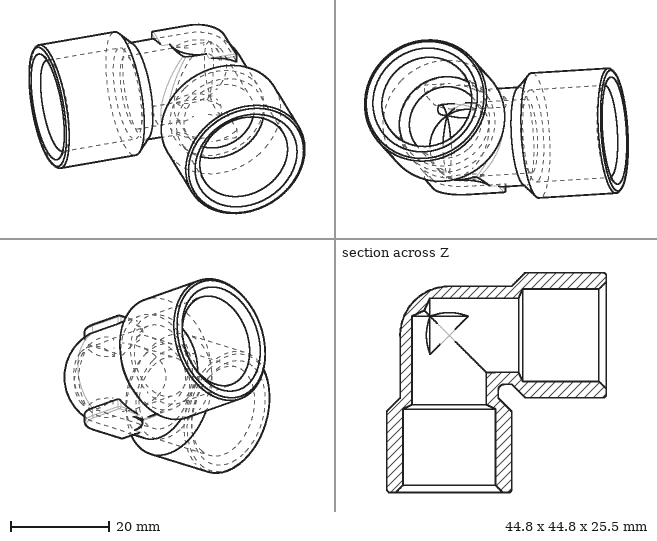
import cadquery as cq
import math

overall_length = 44.75
socket_radius = 12.75
arm_length = overall_length - socket_radius
rim_chamfer = 0.45
body_radius = 10.02
collar_start = 12.75
collar_taper = socket_radius - body_radius

socket_bore_radius = 9.4
mouth_radius = 10.9
mouth_depth = 1.5
socket_bore_depth = 17.0
passage_radius = 7.5
passage_overrun = 3.9
drill_half_angle = math.radians(65)

pad_radius = 5.9
pad_reach = 7.95
pad_edge_fillet = 0.35
pad_corner_fillet = 0.4

crotch_fillet = 1.1


def revolve_about_x(points):
    """Turn a closed (axial, radial) outline about the X axis."""
    return cq.Workplane("XY").polyline(points).close().revolve(360, (0, 0, 0), (1, 0, 0))


def to_second_arm(solid):
    """Swing a solid from the +X arm to the -Y arm."""
    return solid.rotate((0, 0, 0), (0, 0, 1), -90)


def make_arm():
    return revolve_about_x([
        (0, 0),
        (0, body_radius),
        (collar_start, body_radius),
        (collar_start + collar_taper, socket_radius),
        (arm_length - rim_chamfer, socket_radius),
        (arm_length, socket_radius - rim_chamfer),
        (arm_length, 0),
    ])


def make_bore():
    tip_length = passage_radius / math.tan(drill_half_angle)
    shoulder_length = (socket_bore_radius - passage_radius) / math.tan(drill_half_angle)
    shoulder_start = arm_length - socket_bore_depth
    return revolve_about_x([
        (-passage_overrun - tip_length, 0),
        (-passage_overrun, passage_radius),
        (shoulder_start - shoulder_length, passage_radius),
        (shoulder_start, socket_bore_radius),
        (arm_length - mouth_depth, socket_bore_radius),
        (arm_length, mouth_radius),
        (arm_length, 0),
    ])


def make_pads():
    """Block whose flat ends lie level with the top and bottom of the body."""
    side = pad_radius + pad_reach
    block = (
        cq.Workplane("XY")
        .box(side, side, 2 * body_radius, centered=(False, False, True))
        .translate((-pad_radius, -pad_reach, 0))
        .edges("|Z and <X and >Y")
        .fillet(pad_radius)
        .edges("(|Z and >X and >Y) or (|Z and <X and <Y)")
        .fillet(pad_corner_fillet)
        .faces("|Z")
        .edges()
        .fillet(pad_edge_fillet)
    )
    disc = cq.Workplane("XY").circle(pad_radius).extrude(body_radius, both=True)
    inner_quadrant = (
        cq.Workplane("XY")
        .box(side, side, 2 * body_radius, centered=(False, False, True))
        .translate((0, -side, 0))
    )
    return block.cut(inner_quadrant.cut(disc))


arm = make_arm()
corner_ball = cq.Workplane("XY").sphere(body_radius)
body = arm.union(to_second_arm(arm)).union(corner_ball)

body = body.union(make_pads())
crotch_zone = cq.selectors.BoxSelector(
    (pad_radius / 2, -body_radius, -body_radius), (body_radius, -pad_radius / 2, body_radius)
)
body = body.edges("%ELLIPSE").edges(crotch_zone).fillet(crotch_fillet)

bore = make_bore()
result = body.cut(bore).cut(to_second_arm(bore))